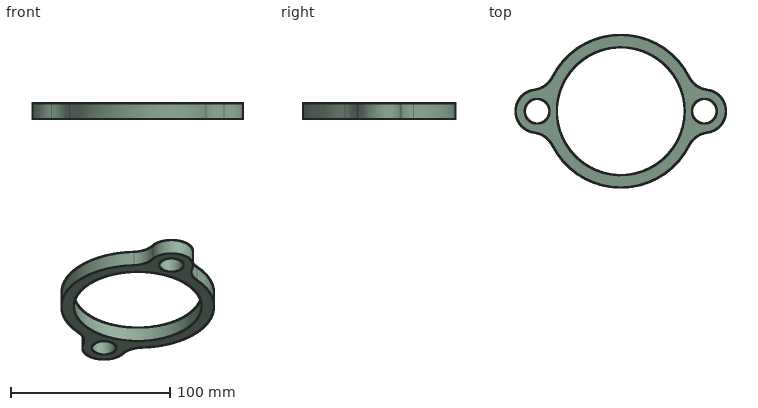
import cadquery as cq
import math

length = 132.2
thickness = 10.0
ring_radius = 96.0 / 2
bore_diameter = 80.1
bolt_hole_diameter = 15.3
lug_radius = 13.6
blend_radius = 15.0

lug_x = length / 2 - lug_radius

ring_to_blend = ring_radius + blend_radius
lug_to_blend = lug_radius + blend_radius
blend_x = (ring_to_blend**2 - lug_to_blend**2 + lug_x**2) / (2 * lug_x)
blend_y = math.sqrt(ring_to_blend**2 - blend_x**2)

ring_x = blend_x * ring_radius / ring_to_blend
ring_y = blend_y * ring_radius / ring_to_blend
lug_end_x = lug_x + (blend_x - lug_x) * lug_radius / lug_to_blend
lug_end_y = blend_y * lug_radius / lug_to_blend

chord_x = (ring_x + lug_end_x) / 2 - blend_x
chord_y = (ring_y + lug_end_y) / 2 - blend_y
chord_distance = math.hypot(chord_x, chord_y)
blend_mid_x = blend_x + chord_x * blend_radius / chord_distance
blend_mid_y = blend_y + chord_y * blend_radius / chord_distance


def make_body():
    """Ring outline with two opposite lugs, extruded to the full thickness."""
    outline = cq.Workplane("XY").moveTo(-ring_x, ring_y)
    for side in (1, -1):
        outline = (
            outline
            .threePointArc((0, side * ring_radius), (side * ring_x, side * ring_y))
            .threePointArc((side * blend_mid_x, side * blend_mid_y), (side * lug_end_x, side * lug_end_y))
            .threePointArc((side * length / 2, 0), (side * lug_end_x, -side * lug_end_y))
            .threePointArc((side * blend_mid_x, -side * blend_mid_y), (side * ring_x, -side * ring_y))
        )
    return outline.close().extrude(thickness)


def make_holes():
    """Cutters for the central bore and the bolt hole in each lug."""
    bore = cq.Workplane("XY").circle(bore_diameter / 2).extrude(thickness)
    bolt_holes = (
        cq.Workplane("XY")
        .pushPoints([(-lug_x, 0), (lug_x, 0)])
        .circle(bolt_hole_diameter / 2)
        .extrude(thickness)
    )
    return bore.union(bolt_holes)


result = make_body().cut(make_holes())